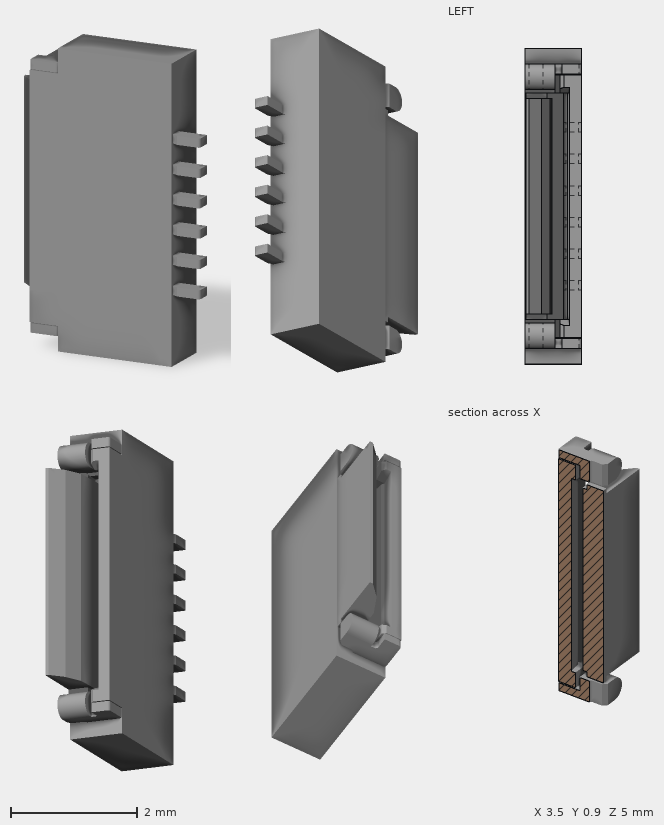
import cadquery as cq

height = 5.0
depth = 0.9
housing_x = 1.0
housing_back_x = 3.0
ledge_x = 0.5
ledge_half_z = 2.08
ledge_top_y = 0.34
lead_in_run = 0.05
lead_in_drop = 0.06

recess_back_x = 1.2
recess_neck_x = 0.7
recess_step_x = 0.75
recess_mouth_y = 0.19
recess_step_y = 0.225
recess_inner_y = 0.29
recess_mouth_half_z = 1.885
recess_inner_half_z = 1.795

actuator_half_z = 1.705
actuator_top_y = 0.885
lip_tip_y = 0.83
lip_bevel_x, lip_bevel_y = 0.21, 0.635
lip_heel_x, lip_heel_y = 0.52, 0.5
actuator_root_y = 0.47
shoulder_x = 0.9
shoulder_bottom_y = 0.55

plate_gap = 0.015
plate_inner_z = ledge_half_z + plate_gap
plate_outer_z = 2.25
plate_corner = 0.045
slot_x = 0.74
slot_bottom_y = 0.31
slot_top_y = 0.42
slot_corner = 0.05
arm_inner_z = 1.85
arm_radius = (plate_outer_z - arm_inner_z) / 2
arm_back_x = 0.95
arm_bevel = 0.065
arm_root_y = 0.61
arm_root_radius = housing_x - arm_back_x

tail_count = 6
tail_pitch = 0.5
tail_thickness = 0.15
tail_end_x = 3.5
tail_top_y = 0.25
tail_relief_x = 0.1
tail_relief_y = 0.05
tail_corner = 0.04
tail_root_radius = 0.035


def box(x_min, x_max, y_min, y_max, z_min, z_max):
    size = (x_max - x_min, y_max - y_min, z_max - z_min)
    return cq.Workplane("XY").box(*size, centered=False).translate((x_min, y_min, z_min))


def profile(z_min):
    """Sketch plane parallel to XY at the given height."""
    return cq.Workplane("XY", origin=(0, 0, z_min))


def make_housing():
    block = box(housing_x, housing_back_x, 0, depth, -height / 2, height / 2)
    ledge = (
        profile(-ledge_half_z)
        .moveTo(ledge_x, 0)
        .lineTo(housing_x, 0)
        .lineTo(housing_x, ledge_top_y)
        .lineTo(ledge_x + lead_in_run, ledge_top_y)
        .lineTo(ledge_x, ledge_top_y - lead_in_drop)
        .close()
        .extrude(2 * ledge_half_z)
    )
    return block.union(ledge).cut(make_recess())


def make_recess():
    floor = (
        profile(-recess_mouth_half_z)
        .moveTo(ledge_x, recess_mouth_y)
        .lineTo(recess_neck_x, recess_mouth_y)
        .lineTo(recess_step_x, recess_step_y)
        .lineTo(recess_back_x, recess_inner_y)
        .lineTo(recess_back_x, shoulder_bottom_y)
        .lineTo(ledge_x, shoulder_bottom_y)
        .close()
        .extrude(2 * recess_mouth_half_z)
    )
    side_walls = (
        cq.Workplane("XZ")
        .moveTo(ledge_x, -recess_mouth_half_z)
        .lineTo(recess_neck_x, -recess_inner_half_z)
        .lineTo(recess_back_x, -recess_inner_half_z)
        .lineTo(recess_back_x, recess_inner_half_z)
        .lineTo(recess_neck_x, recess_inner_half_z)
        .lineTo(ledge_x, recess_mouth_half_z)
        .close()
        .extrude(-depth)
    )
    return floor.intersect(side_walls)


def make_undercut():
    """Wedge cut into the housing face behind a hold-down slot; its floor rises from the ledge."""
    return (
        profile(recess_inner_half_z)
        .moveTo(housing_x, ledge_top_y)
        .lineTo(recess_back_x, slot_top_y)
        .lineTo(housing_x, slot_top_y)
        .close()
        .extrude(ledge_half_z - recess_inner_half_z)
    )


def make_actuator():
    lip = (
        profile(-actuator_half_z)
        .moveTo(0, actuator_top_y)
        .lineTo(0, lip_tip_y)
        .lineTo(lip_bevel_x, lip_bevel_y)
        .lineTo(lip_heel_x, lip_heel_y)
        .lineTo(recess_back_x, actuator_root_y)
        .lineTo(recess_back_x, actuator_top_y)
        .close()
        .extrude(2 * actuator_half_z)
    )
    shoulder_half_z = recess_inner_half_z
    shoulders = box(
        shoulder_x, housing_x,
        shoulder_bottom_y, actuator_top_y,
        -shoulder_half_z, shoulder_half_z,
    )
    return lip.union(shoulders)


def make_hold_down():
    foot = box(ledge_x, housing_x, 0, slot_top_y, plate_inner_z, plate_outer_z)
    foot = foot.edges("|Z and <Y").fillet(plate_corner)
    slot = box(ledge_x, slot_x, slot_bottom_y, slot_top_y, plate_inner_z, plate_outer_z)
    slot = slot.edges("|Z and >X and <Y").fillet(slot_corner)

    arm = (
        profile(arm_inner_z)
        .moveTo(ledge_x, slot_top_y)
        .lineTo(housing_x, slot_top_y)
        .lineTo(housing_x, arm_root_y)
        .radiusArc((arm_back_x, arm_root_y + arm_root_radius), arm_root_radius)
        .lineTo(arm_back_x, depth - arm_bevel)
        .lineTo(arm_back_x - arm_bevel, depth)
        .lineTo(ledge_x, depth)
        .close()
        .extrude(2 * arm_radius)
    )
    nose_x = ledge_x + arm_radius
    nose = (
        cq.Workplane("XZ")
        .moveTo(housing_x, arm_inner_z)
        .lineTo(nose_x, arm_inner_z)
        .threePointArc((ledge_x, arm_inner_z + arm_radius), (nose_x, plate_outer_z))
        .lineTo(housing_x, plate_outer_z)
        .close()
        .extrude(-depth)
    )
    return foot.cut(slot).union(arm.intersect(nose))


def make_tail(z_center):
    root_y = tail_top_y + tail_root_radius
    return (
        profile(z_center - tail_thickness / 2)
        .moveTo(housing_back_x, tail_relief_y)
        .lineTo(housing_back_x + tail_relief_x, 0)
        .lineTo(tail_end_x - tail_corner, 0)
        .radiusArc((tail_end_x, tail_corner), -tail_corner)
        .lineTo(tail_end_x, tail_top_y)
        .lineTo(housing_back_x + tail_root_radius, tail_top_y)
        .radiusArc((housing_back_x, root_y), tail_root_radius)
        .close()
        .extrude(tail_thickness)
    )


result = make_housing().union(make_actuator())

undercut = make_undercut()
hold_down = make_hold_down()
result = result.cut(undercut).cut(undercut.mirror("XY"))
result = result.union(hold_down).union(hold_down.mirror("XY"))

for index in range(tail_count):
    tail_z = (index - (tail_count - 1) / 2) * tail_pitch
    result = result.union(make_tail(tail_z))